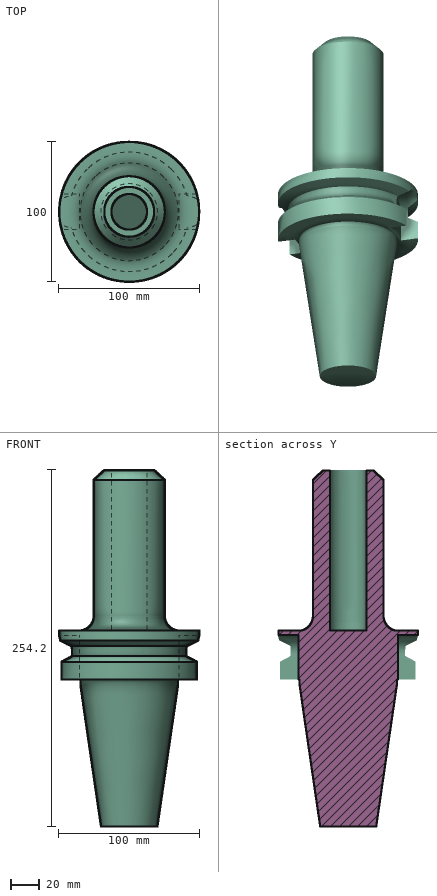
import cadquery as cq

total_height = 254.2

taper_length = 101.7
taper_large_radius = 70.0 / 2
taper_ratio = 7 / 24
taper_small_radius = taper_large_radius - taper_ratio * taper_length / 2

flange_radius = 100.0 / 2
flange_bottom = 104.7
flange_top = 139.8
lower_rim_height = 12.7
upper_rim_height = 7.0
groove_floor_radius = 42.7
groove_flank_height = 4.0

nose_radius = 25.5
nose_fillet_radius = 10.2
nose_tip_radius = 17.8
nose_chamfer_height = 7.0
bore_radius = 12.7
bore_depth = 114.5

slot_width = 25.5
slot_height = 31.5
slot_floor_distance = 35.5


def make_body():
    """Revolve the half outline of the taper, flange and nose about Z."""
    groove_bottom = flange_bottom + lower_rim_height
    groove_top = flange_top - upper_rim_height
    fillet_outer_radius = nose_radius + nose_fillet_radius
    fillet_top = flange_top + nose_fillet_radius
    outline = (
        cq.Workplane("XZ")
        .moveTo(0, 0)
        .lineTo(taper_small_radius, 0)
        .lineTo(taper_large_radius, taper_length)
        .lineTo(taper_large_radius, flange_bottom)
        .lineTo(flange_radius, flange_bottom)
        .lineTo(flange_radius, groove_bottom)
        .lineTo(groove_floor_radius, groove_bottom + groove_flank_height)
        .lineTo(groove_floor_radius, groove_top - groove_flank_height)
        .lineTo(flange_radius, groove_top)
        .lineTo(flange_radius, flange_top)
        .lineTo(fillet_outer_radius, flange_top)
        .radiusArc((nose_radius, fillet_top), nose_fillet_radius)
        .lineTo(nose_radius, total_height - nose_chamfer_height)
        .lineTo(nose_tip_radius, total_height)
        .lineTo(0, total_height)
        .close()
    )
    return outline.revolve(360, (0, 0, 0), (0, 1, 0))


def make_bore():
    """Blind tool bore entering from the top of the nose."""
    return (
        cq.Workplane("XY")
        .workplane(offset=total_height - bore_depth)
        .circle(bore_radius)
        .extrude(bore_depth)
    )


def make_drive_slot():
    """Round-topped slot on the +X side, open through the bottom of the flange."""
    half_width = slot_width / 2
    slot_top = flange_bottom + slot_height
    arch_start = slot_top - half_width
    return (
        cq.Workplane("YZ")
        .workplane(offset=slot_floor_distance)
        .moveTo(-half_width, flange_bottom)
        .lineTo(half_width, flange_bottom)
        .lineTo(half_width, arch_start)
        .threePointArc((0, slot_top), (-half_width, arch_start))
        .close()
        .extrude(flange_radius - slot_floor_distance)
    )


result = make_body().cut(make_bore())
for slot_angle in (0, 180):
    slot = make_drive_slot().rotate((0, 0, 0), (0, 0, 1), slot_angle)
    result = result.cut(slot)